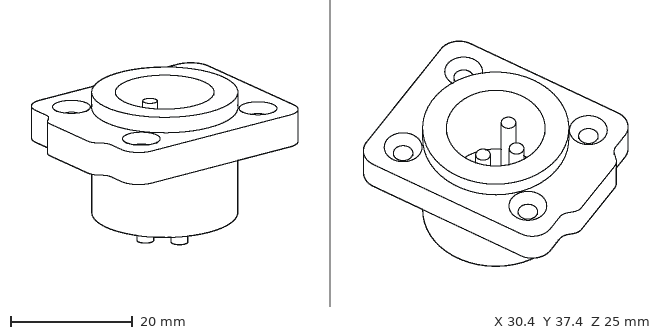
import cadquery as cq


flange_width = 30.4
flange_length = 35.4
flange_thickness = 5.6
flange_corner_radius = 3.5

tab_projection = 2.0
tab_tip_width = 12.0
tab_root_width = tab_tip_width + 2 * tab_projection
tab_blend_radius = 2.0

hole_spacing_x = 19.0
hole_spacing_y = 24.0
hole_diameter = 3.2
countersink_diameter = 6.2
countersink_angle = 90.0

shell_diameter = 24.0
shell_height = 21.0
shell_rise = 2.7
socket_diameter = 16.2
socket_depth = 15.0

pin_offset = 4.0
pin_positions = [(-pin_offset, 0), (pin_offset, 0), (0, -pin_offset)]
contact_diameter = 2.4
contact_recess = 2.7
tail_diameter = 2.8
tail_length = 4.0

shell_top = shell_rise
shell_bottom = shell_top - shell_height
socket_floor = shell_top - socket_depth
contact_top = shell_top - contact_recess


def make_flange():
    """Rounded rectangular plate with the blended tab on its -Y edge."""
    half_width = flange_width / 2
    edge_y = flange_length / 2
    tab_tip_y = -edge_y - tab_projection
    outline = [
        (-half_width, edge_y),
        (-half_width, -edge_y),
        (-tab_root_width / 2, -edge_y),
        (-tab_tip_width / 2, tab_tip_y),
        (tab_tip_width / 2, tab_tip_y),
        (tab_root_width / 2, -edge_y),
        (half_width, -edge_y),
        (half_width, edge_y),
    ]
    plate = cq.Workplane("XY").polyline(outline).close().extrude(-flange_thickness)
    plate = plate.edges("|Z and (<X or >X)").fillet(flange_corner_radius)

    margin = 0.1
    tab_reach = tab_root_width / 2 + margin
    tab_edges = cq.selectors.BoxSelector(
        (-tab_reach, tab_tip_y - margin, -flange_thickness),
        (tab_reach, -edge_y + margin, 0),
    )
    return plate.edges("|Z").edges(tab_edges).fillet(tab_blend_radius)


def drill_mounting_holes(flange):
    """Four through holes, countersunk from the upper face."""
    return (
        flange.faces(">Z")
        .workplane(origin=(0, 0, 0))
        .rarray(hole_spacing_x, hole_spacing_y, 2, 2)
        .cskHole(hole_diameter, countersink_diameter, countersink_angle)
    )


def make_cylinders(diameter, bottom, top, centers):
    """Upright cylinders between two Z levels, one at each centre."""
    return (
        cq.Workplane("XY", origin=(0, 0, bottom))
        .pushPoints(centers)
        .circle(diameter / 2)
        .extrude(top - bottom)
    )


axis = [(0, 0)]
flange = drill_mounting_holes(make_flange())
shell = make_cylinders(shell_diameter, shell_bottom, shell_top, axis)
socket = make_cylinders(socket_diameter, socket_floor, shell_top, axis)
contacts = make_cylinders(contact_diameter, socket_floor, contact_top, pin_positions)
tails = make_cylinders(tail_diameter, shell_bottom - tail_length, shell_bottom, pin_positions)

result = flange.union(shell).cut(socket).union(contacts).union(tails)